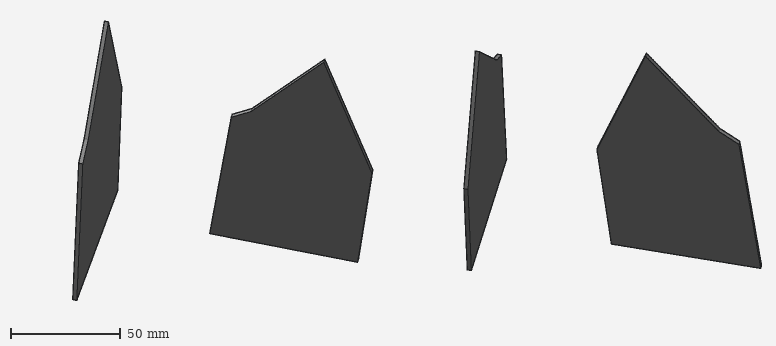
import cadquery as cq

thickness = 2.0
base_width = 70.0
overall_width = 76.77
height = 133.94

rear_shoulder_z = 63.7

front_setback = 10.2
front_shoulder_z = 83.4

slope_start_y = 19.6
slope_start_z = 90.1

apex_y = 54.0

outline = [
    (0, 0),
    (base_width, 0),
    (overall_width, rear_shoulder_z),
    (apex_y, height),
    (slope_start_y, slope_start_z),
    (front_setback, front_shoulder_z),
]

result = cq.Workplane("YZ").polyline(outline).close().extrude(thickness)